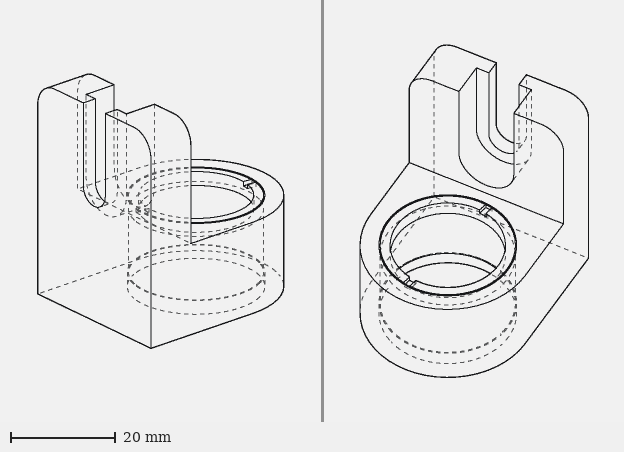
import cadquery as cq

body_width = 33.5
back_radius = body_width / 2
axis_to_front = 25.4
base_height = 19.05
total_height = 44.45

plate_thickness = 10.0
plate_corner_radius = 5.0
front_y = -axis_to_front
plate_back_y = front_y + plate_thickness

slot_width = 6.5
head_slot_width = 11.9
slot_web_thickness = 3.0
slot_center_z = 27.2

bore_radius = 12.9
relief_radius = 13.13
relief_height = 2.9
ring_inner_radius = 11.0
ring_outer_radius = bore_radius
groove_outer_radius = relief_radius
ring_thickness = 2.9
ring_groove_depth = 0.1

notch_width = 1.5
notch_depth = 0.9
notch_axis_angle = 81.0


def make_base():
    """Block with a half-round back."""
    return (
        cq.Workplane("XY")
        .moveTo(-body_width / 2, front_y)
        .lineTo(body_width / 2, front_y)
        .lineTo(body_width / 2, 0)
        .threePointArc((0, back_radius), (-body_width / 2, 0))
        .close()
        .extrude(base_height)
    )


def make_plate():
    """Upright plate with rounded top corners."""
    return (
        cq.Workplane("XY")
        .box(body_width, plate_thickness, total_height, centered=(True, False, False))
        .translate((0, front_y, 0))
        .edges("|Y and >Z")
        .fillet(plate_corner_radius)
    )


def make_slot(width, start_y, end_y):
    """Cutter for a slot along Y with a round bottom, open at the top of the plate."""
    radius = width / 2
    return (
        cq.Workplane("XZ", origin=(0, end_y, 0))
        .moveTo(-radius, total_height)
        .lineTo(-radius, slot_center_z)
        .threePointArc((0, slot_center_z - radius), (radius, slot_center_z))
        .lineTo(radius, total_height)
        .close()
        .extrude(end_y - start_y)
    )


def make_cylinder(radius, bottom_z, top_z):
    """Upright cylinder on the bore axis."""
    return cq.Workplane("XY", origin=(0, 0, bottom_z)).circle(radius).extrude(top_z - bottom_z)


def make_bore():
    """Cutter for the bottom relief, the main bore and the opening of the ring."""
    ring_bottom_z = base_height - ring_thickness
    bottom_relief = make_cylinder(relief_radius, 0, relief_height)
    main_bore = make_cylinder(bore_radius, relief_height, ring_bottom_z)
    ring_opening = make_cylinder(ring_inner_radius, ring_bottom_z, base_height)
    return bottom_relief.union(main_bore).union(ring_opening)


def make_ring_groove():
    """Cutter for the narrow groove that outlines the ring."""
    return (
        cq.Workplane("XY", origin=(0, 0, base_height - ring_groove_depth))
        .circle(groove_outer_radius)
        .circle(ring_outer_radius)
        .extrude(ring_groove_depth)
    )


def make_notches():
    """Cutter for both notches: one bar across the bore, ending at the ring's rim."""
    bar = (
        cq.Workplane("XY", origin=(0, 0, base_height - notch_depth))
        .rect(2 * bore_radius, notch_width)
        .extrude(notch_depth)
        .rotate((0, 0, 0), (0, 0, 1), notch_axis_angle)
    )
    return bar.intersect(make_cylinder(ring_outer_radius, 0, base_height))


screw_slot = make_slot(slot_width, front_y, plate_back_y)
head_slot = make_slot(head_slot_width, front_y + slot_web_thickness, plate_back_y)

result = (
    make_base()
    .union(make_plate())
    .cut(screw_slot)
    .cut(head_slot)
    .cut(make_bore())
    .cut(make_ring_groove())
    .cut(make_notches())
)